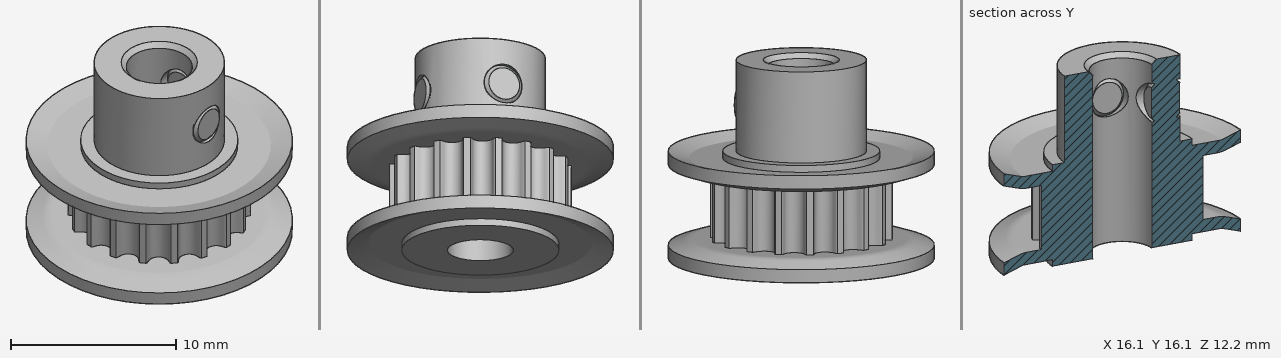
import cadquery as cq
import math

total_height = 12.2
rim_radius = 8.05
hub_radius = 3.95
bore_radius = 2.0
bore_chamfer = 0.3

flange_thickness = 0.82
dish_depth = 0.42
dish_radius = 6.76
dish_bend_radius = 1.61
shoulder_radius = 4.75
body_height = 6.6

drum_bottom = flange_thickness + dish_depth
drum_length = body_height - 2 * drum_bottom

groove_count = 18
drum_radius = 5.5
groove_depth = 0.74
groove_half_width = 0.61
groove_arc_radius = 0.65
flank_flare = 0.06
flank_height = 0.15
groove_mouth_half_width = 0.75
groove_overshoot = 0.32

screw_radius = 1.22
screw_height = 9.4
screw_inner_end = 1.98
screw_outer_end = 3.93
screw_chamfer = 0.23
screw_angles = (0, 90)


def make_flange():
    """Flange with its flat rim face on Z = 0, dished towards +Z."""
    profile = (
        cq.Workplane("XZ")
        .moveTo(0, 0)
        .lineTo(shoulder_radius, 0)
        .lineTo(shoulder_radius, dish_depth)
        .lineTo(dish_radius, dish_depth)
        .lineTo(rim_radius, 0)
        .lineTo(rim_radius, flange_thickness)
        .lineTo(dish_radius, flange_thickness + dish_depth)
        .lineTo(0, flange_thickness + dish_depth)
        .close()
    )
    flange = profile.revolve(360, (0, 0, 0), (0, 1, 0))
    return flange.faces(">Z").edges("%CIRCLE").fillet(dish_bend_radius)


def make_groove():
    """Cutter for the tooth groove that faces -Y."""
    root = drum_radius - groove_depth
    arc_rise = groove_arc_radius - math.sqrt(groove_arc_radius**2 - groove_half_width**2)
    flank_start = root + arc_rise
    flank_end = flank_start + flank_height
    flank_half_width = groove_half_width + flank_flare
    mouth = math.sqrt(drum_radius**2 - groove_mouth_half_width**2)
    outside = drum_radius + groove_overshoot
    corner_end = (groove_mouth_half_width, -mouth)
    half_groove = (
        cq.Workplane("XY", origin=(0, 0, drum_bottom))
        .moveTo(0, -outside)
        .lineTo(0, -root)
        .radiusArc((groove_half_width, -flank_start), groove_arc_radius)
        .lineTo(flank_half_width, -flank_end)
        .tangentArcPoint(corner_end, relative=False)
        .lineTo(groove_mouth_half_width, -outside)
        .close()
        .extrude(drum_length)
    )
    return half_groove.union(half_groove.mirror("YZ"))


def make_drum():
    drum = cq.Workplane("XY", origin=(0, 0, drum_bottom)).circle(drum_radius).extrude(drum_length)
    groove = make_groove()
    for index in range(groove_count):
        drum = drum.cut(turn_about_axis(groove, index * 360 / groove_count))
    return drum


def make_screw_cylinder(start, end):
    """Screw-sized cylinder along +X, between two distances from the part axis."""
    return (
        cq.Workplane("YZ", origin=(start, 0, screw_height))
        .circle(screw_radius)
        .extrude(end - start)
    )


def turn_about_axis(body, angle):
    return body.rotate((0, 0, 0), (0, 0, 1), angle)


lower_flange = make_flange()
upper_flange = lower_flange.mirror("XY").translate((0, 0, body_height))
hub = cq.Workplane("XY").circle(hub_radius).extrude(total_height)
result = make_drum().union(lower_flange).union(upper_flange).union(hub)

bore = cq.Workplane("XY").circle(bore_radius).extrude(total_height)
result = result.cut(bore)
bore_edge = cq.selectors.RadiusNthSelector(0)
result = result.faces(">Z").edges(bore_edge).chamfer(bore_chamfer)

screw_hole = make_screw_cylinder(0, hub_radius)
set_screw = make_screw_cylinder(screw_inner_end, screw_outer_end)
set_screw = set_screw.faces("<X or >X").chamfer(screw_chamfer)
for angle in screw_angles:
    result = result.cut(turn_about_axis(screw_hole, angle))
    result = result.union(turn_about_axis(set_screw, angle))